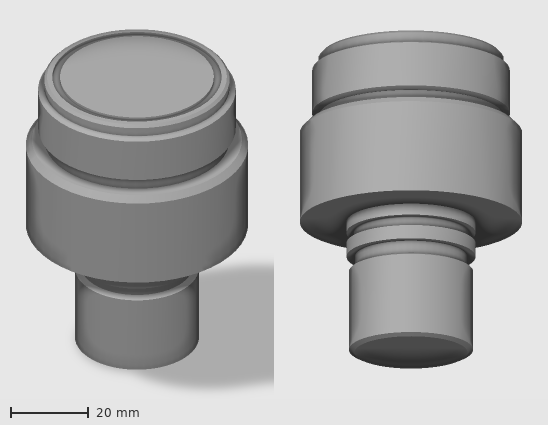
import cadquery as cq

overall_height = 79.4
collar_top = 60.4
collar_bottom = 34.9
head_top = 76.3
head_bottom = 63.3
flange_bottom = 25.65
flange_height = 3.6
upper_groove_top = 32.0
shank_top = 22.4

collar_radius = 28.6
head_radius = 25.4
neck_radius = 23.8
flange_radius = 16.6
upper_groove_radius = 14.7
lower_groove_radius = 14.45
shank_radius = 15.95

collar_chamfer = 1.6
rim_chamfer = 0.7
shallow_chamfer_height = 0.7
shallow_chamfer_depth = 1.4

face_groove_outer_radius = 21.75
face_groove_inner_radius = 19.8
face_groove_depth = 1.0

groove_corner_fillet = 0.2


def cylinder(radius, bottom, top):
    """Solid cylinder on the Z axis between two levels."""
    return cq.Workplane("XY").workplane(offset=bottom).circle(radius).extrude(top - bottom)


def shallow_chamfered_cylinder(radius, bottom, top):
    """Solid cylinder whose two end edges taper more in radius than in height."""
    end_radius = radius - shallow_chamfer_depth
    outline = [
        (0, bottom),
        (end_radius, bottom),
        (radius, bottom + shallow_chamfer_height),
        (radius, top - shallow_chamfer_height),
        (end_radius, top),
        (0, top),
    ]
    return cq.Workplane("XZ").polyline(outline).close().revolve(360, (0, 0), (0, 1))


shank = shallow_chamfered_cylinder(shank_radius, 0, shank_top)
lower_groove_core = cylinder(lower_groove_radius, shank_top, flange_bottom)
flange_top = flange_bottom + flange_height
flange = cylinder(flange_radius, flange_bottom, collar_bottom)
upper_groove_core = cylinder(upper_groove_radius, flange_top, upper_groove_top)
upper_groove = cylinder(flange_radius, flange_top, upper_groove_top).cut(upper_groove_core)
upper_groove = upper_groove.edges(cq.selectors.RadiusNthSelector(0)).fillet(groove_corner_fillet)
flange = flange.cut(upper_groove)

collar = cylinder(collar_radius, collar_bottom, collar_top).faces(">Z").chamfer(collar_chamfer)
head = shallow_chamfered_cylinder(head_radius, head_bottom, head_top)
neck = cylinder(neck_radius, collar_bottom, overall_height).faces(">Z").chamfer(rim_chamfer)

groove_floor = overall_height - face_groove_depth
face_disc = cylinder(face_groove_inner_radius, groove_floor, overall_height)
face_groove = cylinder(face_groove_outer_radius, groove_floor, overall_height).cut(face_disc)
face_groove = face_groove.faces("<Z").edges().fillet(groove_corner_fillet)

result = shank
for section in (lower_groove_core, flange, collar, head, neck):
    result = result.union(section)
result = result.cut(face_groove)